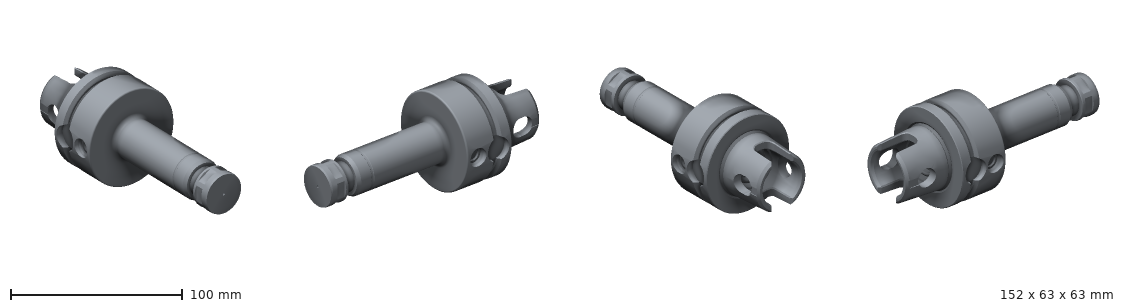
import cadquery as cq
import math

total_length = 152.0
flange_start = 31.8
flange_end = 64.9
nut_start = 139.1

taper_radius = 18.5
taper_slope = 0.053
tip_chamfer_length = 2.0
tip_radius = 17.2
taper_end = 30.2
neck_start = 30.9
neck_radius = 19.6
undercut_floor_radius = 20.8
undercut_radius = 21.9
undercut_depth = 0.6

flange_radius = 31.5
flange_front_chamfer = 0.5
flange_back_fillet = 1.0
groove_center = 41.8
groove_floor_radius = 27.8
groove_floor_width = 3.6
groove_mouth_width = 6.2
groove_wall_height = 1.2

shank_radius = 26.0 / 2
shank_fillet = 2.9
ring_start = 120.0
ring_end = 121.9
ring_depth = 0.3
shank_end = 132.1
shank_chamfer_length = 2.5
shank_chamfer_height = 1.2
neck_diameter = 19.0
nut_radius = 13.0
nut_back_chamfer = 0.6
nut_front_chamfer = 1.2
nut_chamfer_height = 0.3

flat_count = 6
flat_start = 141.0
flat_length = 6.4
flat_end_slant = 0.5
flat_width = 10.5

tip_hole_radius = 16.0
tip_bevel_radius = 14.9
tip_bevel_length = 0.3
bore_radius = 14.0
bore_mouth_length = 2.1
bore_end = 26.3
inner_radius = 12.9
inner_start = 26.8
inner_bevel = 0.6
inner_end = 32.2
through_diameter = 1.7

rim_outer_radius = 11.0
rim_inner_radius = 8.7
rim_start = 28.1
screw_pocket_radius = 11.0 / 2
screw_groove_radius = 4.5
screw_radius = 8.0 / 2
screw_groove_depth = 0.9
screw_hole_diameter = 3.5
screw_hole_depth = 3.0

slot_width = 14.0
slot_end = 19.8
slot_corner_radius = 4.0
slot_outer_chamfer = 0.6
slot_inner_chamfer = 0.6
slot_mouth_width = 16.7
edge_margin = 0.3

cross_hole_x = 15.0
cross_hole_diameter = 12.5
widening_shift = 2.7
keyway_start = 1.2
keyway_width = 5.2
keyway_radius = 18.1
pocket_diameter = 16.0
pocket_floor = 26.8
side_hole_x = 56.8
side_hole_diameter = 12.0
side_cone_start = 28.3
side_cone_end = 27.4
side_hole_inner_diameter = 11.0
side_hole_floor = 26.3
side_recess_diameter = 8.0
side_recess_floor = 25.0

cutter_overrun = 1.5
arc_mid_inset = 1 - math.sqrt(0.5)


def turned_body():
    """Outer shape of taper, flange, shank and nut, revolved around X."""
    taper_end_radius = taper_radius + taper_slope * (taper_end - tip_chamfer_length)
    rim_drop = flange_back_fillet * arc_mid_inset
    fillet_drop = shank_fillet * arc_mid_inset
    flank_radius = groove_floor_radius + groove_wall_height
    profile = (
        cq.Workplane("XY")
        .moveTo(0, 0)
        .lineTo(0, tip_radius)
        .lineTo(tip_chamfer_length, taper_radius)
        .lineTo(taper_end, taper_end_radius)
        .lineTo(neck_start, neck_radius)
        .lineTo(flange_start + undercut_depth, undercut_floor_radius)
        .lineTo(flange_start, undercut_radius)
        .lineTo(flange_start, flange_radius - flange_front_chamfer)
        .lineTo(flange_start + flange_front_chamfer, flange_radius)
        .lineTo(groove_center - groove_mouth_width / 2, flange_radius)
        .lineTo(groove_center - groove_floor_width / 2, flank_radius)
        .lineTo(groove_center - groove_floor_width / 2, groove_floor_radius)
        .lineTo(groove_center + groove_floor_width / 2, groove_floor_radius)
        .lineTo(groove_center + groove_floor_width / 2, flank_radius)
        .lineTo(groove_center + groove_mouth_width / 2, flange_radius)
        .lineTo(flange_end - flange_back_fillet, flange_radius)
        .threePointArc(
            (flange_end - rim_drop, flange_radius - rim_drop),
            (flange_end, flange_radius - flange_back_fillet),
        )
        .lineTo(flange_end, shank_radius + shank_fillet)
        .threePointArc(
            (flange_end + fillet_drop, shank_radius + fillet_drop),
            (flange_end + shank_fillet, shank_radius),
        )
        .lineTo(ring_start, shank_radius)
        .lineTo(ring_start + ring_depth, shank_radius - ring_depth)
        .lineTo(ring_end - ring_depth, shank_radius - ring_depth)
        .lineTo(ring_end, shank_radius)
        .lineTo(shank_end - shank_chamfer_length, shank_radius)
        .lineTo(shank_end, shank_radius - shank_chamfer_height)
        .lineTo(shank_end, neck_diameter / 2)
        .lineTo(nut_start, neck_diameter / 2)
        .lineTo(nut_start, nut_radius - nut_chamfer_height)
        .lineTo(nut_start + nut_back_chamfer, nut_radius)
        .lineTo(total_length - nut_front_chamfer, nut_radius)
        .lineTo(total_length, nut_radius - nut_chamfer_height)
        .lineTo(total_length, 0)
        .close()
    )
    return profile.revolve(360, (0, 0, 0), (1, 0, 0))


def bore():
    """Stepped bore of the taper, leaving the round coolant rim and screw in its floor."""
    rim_radius = (rim_outer_radius - rim_inner_radius) / 2
    rim_base = rim_start + rim_radius
    groove_bottom = inner_end + screw_groove_depth
    profile = (
        cq.Workplane("XY")
        .moveTo(0, 0)
        .lineTo(0, tip_hole_radius)
        .lineTo(tip_bevel_length, tip_bevel_radius)
        .lineTo(bore_mouth_length, bore_radius)
        .lineTo(bore_end, bore_radius)
        .lineTo(inner_start, inner_radius)
        .lineTo(inner_end - inner_bevel, inner_radius)
        .lineTo(inner_end, inner_radius - inner_bevel)
        .lineTo(inner_end, rim_outer_radius)
        .lineTo(rim_base, rim_outer_radius)
        .threePointArc((rim_start, rim_outer_radius - rim_radius), (rim_base, rim_inner_radius))
        .lineTo(inner_end, rim_inner_radius)
        .lineTo(inner_end, screw_pocket_radius)
        .lineTo(groove_bottom, screw_groove_radius)
        .lineTo(inner_end, screw_radius)
        .lineTo(inner_end, screw_hole_diameter / 2)
        .lineTo(inner_end + screw_hole_depth, screw_hole_diameter / 2)
        .lineTo(inner_end + screw_hole_depth, through_diameter / 2)
        .lineTo(total_length, through_diameter / 2)
        .lineTo(total_length, 0)
        .close()
    )
    return profile.revolve(360, (0, 0, 0), (1, 0, 0))


def drive_slots():
    """Slot with rounded corners through both Z sides of the taper."""
    return (
        cq.Workplane("XY")
        .box(2 * slot_end, slot_width, 2 * flange_radius)
        .edges("|Z and >X")
        .fillet(slot_corner_radius)
    )


def chamfer_slot_edges(body):
    """Break the long edges where the slot walls meet the taper and the bore."""
    first_x = min(tip_chamfer_length, bore_mouth_length) - edge_margin
    last_x = slot_end + edge_margin
    half = slot_width / 2 + edge_margin
    lowest_outer = math.sqrt(tip_radius**2 - (slot_width / 2) ** 2)
    inner_reach = bore_radius + edge_margin
    for sign in (-1, 1):
        outer = cq.selectors.BoxSelector(
            (first_x, -half, sign * lowest_outer),
            (last_x, half, sign * flange_radius),
            boundingbox=True,
        )
        inner = cq.selectors.BoxSelector(
            (first_x, -half, 0),
            (last_x, half, sign * inner_reach),
            boundingbox=True,
        )
        body = body.edges(outer).chamfer(slot_outer_chamfer)
        body = body.edges(inner).chamfer(slot_inner_chamfer)
    return body


def slot_mouth():
    """Flared opening of the drive slot at the tip of the taper."""
    half = slot_width / 2
    return (
        cq.Workplane("XY", origin=(0, 0, -flange_radius))
        .polyline([
            (0, -slot_mouth_width / 2),
            (tip_chamfer_length, -half),
            (tip_chamfer_length, half),
            (0, slot_mouth_width / 2),
        ])
        .close()
        .extrude(2 * flange_radius)
    )


def side_cylinder(x, diameter, floor, side):
    """Cylinder along Y from the given distance off the axis outward; side is -1 or +1."""
    length = flange_radius + cutter_overrun - floor
    solid = cq.Solid.makeCylinder(
        diameter / 2, length, cq.Vector(x, side * floor, 0), cq.Vector(0, side, 0)
    )
    return cq.Workplane(solid)


def side_hole():
    """Stepped screw hole revolved around the Y axis, opening toward -Y."""
    profile = (
        cq.Workplane("XY")
        .moveTo(0, -side_recess_floor)
        .lineTo(side_recess_diameter / 2, -side_recess_floor)
        .lineTo(side_recess_diameter / 2, -side_hole_floor)
        .lineTo(side_hole_inner_diameter / 2, -side_hole_floor)
        .lineTo(side_hole_inner_diameter / 2, -side_cone_end)
        .lineTo(side_hole_diameter / 2, -side_cone_start)
        .lineTo(side_hole_diameter / 2, -flange_radius)
        .lineTo(0, -flange_radius)
        .close()
    )
    return profile.revolve(360, (0, 0, 0), (0, 1, 0))


def side_features(side):
    """Keyway, gripper pocket and screw hole of one Y side."""
    keyway_length = cross_hole_x - keyway_start
    keyway_depth = flange_radius - keyway_radius
    keyway = cq.Workplane("XY").box(keyway_length, keyway_depth, keyway_width).translate(
        (keyway_start + keyway_length / 2, side * (keyway_radius + keyway_depth / 2), 0)
    )
    pocket = side_cylinder(groove_center, pocket_diameter, pocket_floor, side)
    hole = side_hole().translate((side_hole_x, 0, 0))
    if side > 0:
        hole = hole.mirror("XZ")
    return keyway.union(pocket).union(hole)


def wrench_flats():
    """Blocks that cut the flats around the nut."""
    flat_distance = math.sqrt(nut_radius**2 - (flat_width / 2) ** 2)
    outline = [
        (flat_start, -nut_radius),
        (flat_start + flat_end_slant, -flat_distance),
        (flat_start + flat_length - flat_end_slant, -flat_distance),
        (flat_start + flat_length, -nut_radius),
    ]
    block = cq.Workplane("XY").polyline(outline).close().extrude(flat_width / 2, both=True)
    flats = block
    for index in range(1, flat_count):
        flats = flats.union(block.rotate((0, 0, 0), (1, 0, 0), index * 360 / flat_count))
    return flats


def cross_hole():
    """Hole through both Y walls; a second bore widens it toward the tip in the +Y wall."""
    hole = (
        cq.Workplane("XZ", origin=(cross_hole_x, 0, 0))
        .circle(cross_hole_diameter / 2)
        .extrude(flange_radius, both=True)
    )
    widening = side_cylinder(cross_hole_x - widening_shift, cross_hole_diameter, 0, 1)
    return hole.union(widening)


result = chamfer_slot_edges(turned_body().cut(bore()).cut(drive_slots()))
result = result.cut(slot_mouth()).cut(cross_hole())
for side in (-1, 1):
    result = result.cut(side_features(side))
result = result.cut(wrench_flats())